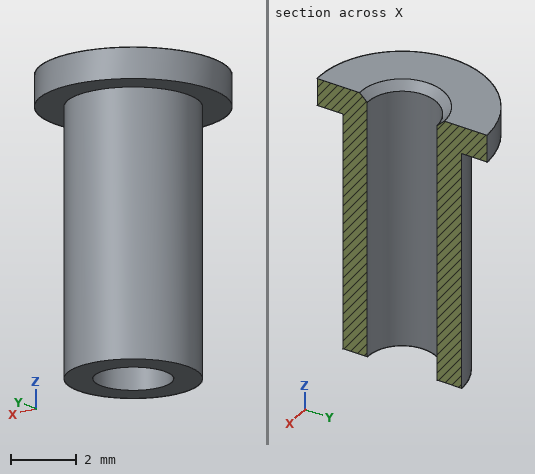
import cadquery as cq

total_height = 9.6
flange_diameter = 6.0
flange_thickness = 1.0
sleeve_diameter = 4.2
bore_diameter = 2.46
countersink_diameter = 3.0

countersink_depth = (countersink_diameter - bore_diameter) / 2

sleeve = cq.Workplane("XY").circle(sleeve_diameter / 2).extrude(total_height)

flange = (
    cq.Workplane("XY")
    .workplane(offset=total_height - flange_thickness)
    .circle(flange_diameter / 2)
    .extrude(flange_thickness)
)

result = (
    sleeve.union(flange)
    .faces(">Z")
    .workplane()
    .hole(bore_diameter)
    .faces(">Z")
    .edges("%CIRCLE")
    .edges(cq.selectors.RadiusNthSelector(0))
    .chamfer(countersink_depth)
)